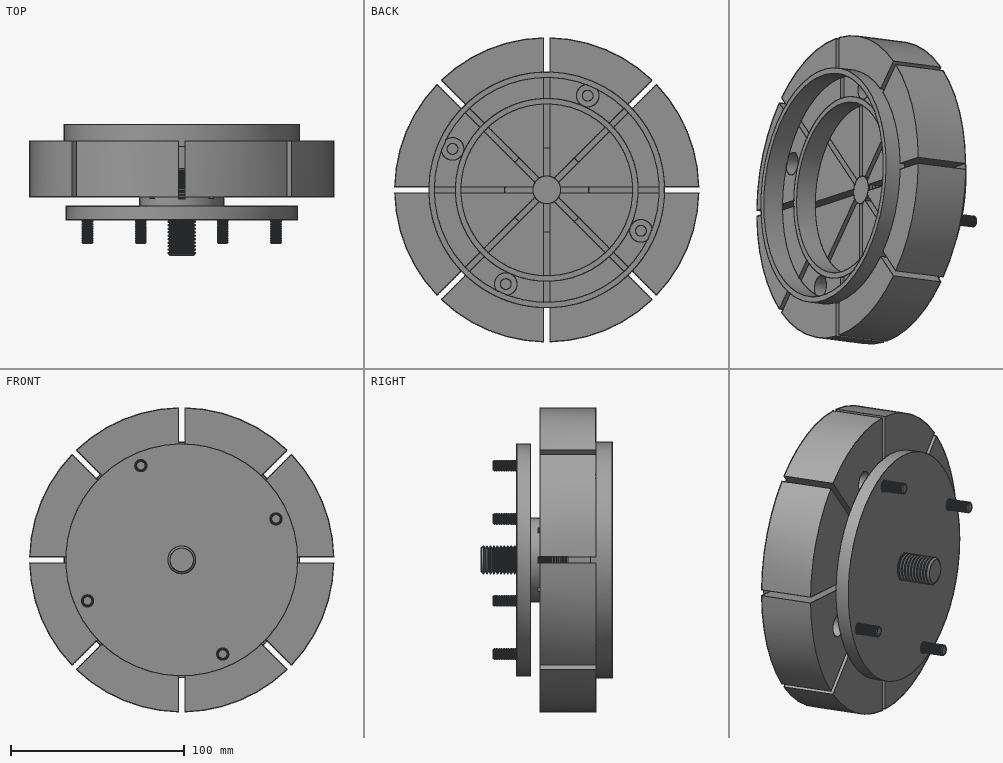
import cadquery as cq
import math


jaw_diameter = 175.0
jaw_thickness = 32.2
slot_count = 8
slot_width = 3.5
slot_depth_into_neck = 1.0

neck_diameter = 48.4
neck_length = 5.3
plate_diameter = 133.4
plate_thickness = 8.0
plate_front = -neck_length - plate_thickness

ring_width = 12.7
ring_wall = 3.175
large_ring_diameter = 135.7
small_ring_diameter = 105.2
large_ring_start = jaw_thickness - ring_wall
small_ring_start = large_ring_start - ring_width

screw_diameter = 16.0
screw_pitch = 2.0
screw_protrusion = 20.45
screw_front = plate_front - screw_protrusion

bolt_diameter = 6.2
bolt_pitch = 1.0
bolt_protrusion = 13.5
bolt_count = 4
bolt_circle_radius = 59.1
first_bolt_angle = 23.5
bolt_hole_mouth_diameter = 7.0
access_hole_diameter = 13.0

thread_depth_per_pitch = 0.6134
crest_per_pitch = 0.125
root_per_pitch = 0.25


def cylinder(diameter, front, back):
    """Solid cylinder on the Y axis between two Y positions."""
    return cq.Workplane("XZ", origin=(0, back, 0)).circle(diameter / 2).extrude(back - front)


def on_bolt_circle(index):
    """X and Z of one plate bolt."""
    angle = math.radians(first_bolt_angle + index * 360 / bolt_count)
    return bolt_circle_radius * math.cos(angle), bolt_circle_radius * math.sin(angle)


def threaded_rod(diameter, pitch, front, back):
    """Rod on the Y axis with the thread as one V ring groove per pitch and a chamfered front end."""
    crest_radius = diameter / 2
    thread_depth = thread_depth_per_pitch * pitch
    root_radius = crest_radius - thread_depth
    crest = crest_per_pitch * pitch
    root = root_per_pitch * pitch
    flank = (pitch - crest - root) / 2

    outline = cq.Workplane("XY").moveTo(0, front).lineTo(root_radius, front)
    outline = outline.lineTo(crest_radius, front + thread_depth)
    groove_start = front + thread_depth + crest
    groove_count = math.floor((back - groove_start) / pitch)
    for index in range(groove_count):
        y = groove_start + index * pitch
        outline = (
            outline.lineTo(crest_radius, y)
            .lineTo(root_radius, y + flank)
            .lineTo(root_radius, y + flank + root)
            .lineTo(crest_radius, y + pitch - crest)
        )
    outline = outline.lineTo(crest_radius, back).lineTo(0, back).close()
    return outline.revolve(360, (0, 0), (0, 1))


def make_chuck():
    """Jaw disc, neck and mounting plate in one piece."""
    chuck = (
        cylinder(jaw_diameter, 0, jaw_thickness)
        .union(cylinder(neck_diameter, -neck_length, 0))
        .union(cylinder(plate_diameter, plate_front, -neck_length))
        .cut(cylinder(large_ring_diameter, large_ring_start, jaw_thickness))
        .cut(cylinder(small_ring_diameter, small_ring_start, jaw_thickness))
        .cut(cylinder(screw_diameter, plate_front, jaw_thickness))
    )

    slot_length = jaw_diameter + slot_width
    slot_height = jaw_thickness + slot_depth_into_neck
    slot = cq.Workplane("XY").box(slot_length, slot_height, slot_width)
    slot = slot.translate((0, slot_height / 2 - slot_depth_into_neck, 0))
    for index in range(slot_count // 2):
        chuck = chuck.cut(slot.rotate((0, 0, 0), (0, 1, 0), index * 360 / slot_count))

    mouth_chamfer = (bolt_hole_mouth_diameter - bolt_diameter) / 2
    bolt_hole = (
        cq.Workplane("XY")
        .moveTo(0, plate_front)
        .lineTo(bolt_hole_mouth_diameter / 2, plate_front)
        .lineTo(bolt_diameter / 2, plate_front + mouth_chamfer)
        .lineTo(bolt_diameter / 2, -neck_length)
        .lineTo(0, -neck_length)
        .close()
        .revolve(360, (0, 0), (0, 1))
    )
    for index in range(bolt_count):
        x, z = on_bolt_circle(index)
        chuck = chuck.cut(cylinder(access_hole_diameter, 0, jaw_thickness).translate((x, 0, z)))
        chuck = chuck.cut(bolt_hole.translate((x, 0, z)))
    return chuck


def make_ring(diameter, start):
    """Plain ring seated on one step of the bore."""
    ring = cylinder(diameter, start, start + ring_width)
    return ring.cut(cylinder(diameter - 2 * ring_wall, start, start + ring_width))


chuck = make_chuck()
large_ring = make_ring(large_ring_diameter, large_ring_start)
small_ring = make_ring(small_ring_diameter, small_ring_start)
drawscrew = threaded_rod(screw_diameter, screw_pitch, screw_front, small_ring_start)

bolt_front = plate_front - bolt_protrusion
bolt = threaded_rod(bolt_diameter, bolt_pitch, bolt_front, -neck_length)
bolts = []
for index in range(bolt_count):
    x, z = on_bolt_circle(index)
    bolts.append(bolt.translate((x, 0, z)))

result = cq.Compound.makeCompound(
    [body.solids().val() for body in (chuck, large_ring, small_ring, drawscrew, *bolts)]
)